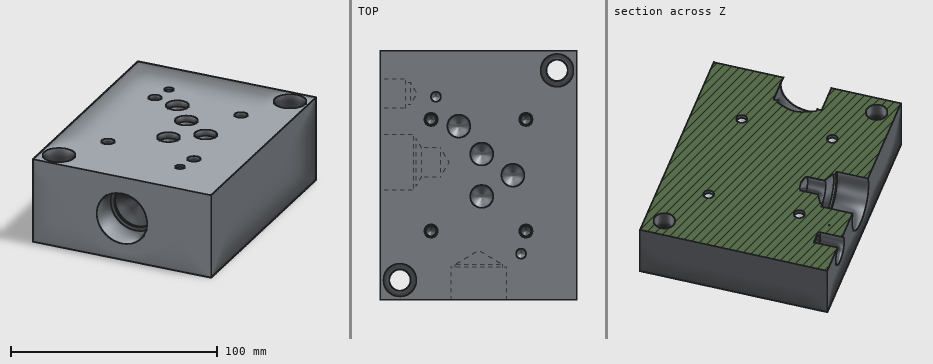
import cadquery as cq
import math

WIDTH = 95.2
LENGTH = 120.6
HEIGHT = 44.4
TOP = HEIGHT / 2

DRILL_POINT_ANGLE = 118.0
POINT_SLOPE = math.tan(math.radians(DRILL_POINT_ANGLE / 2))

MOUNT_EDGE = 9.5
MOUNT_DIAMETER = 10.3
MOUNT_BORE_DIAMETER = 15.9
MOUNT_BORE_DEPTH = 12.1
MOUNT_X = WIDTH / 2 - MOUNT_EDGE
MOUNT_Y = LENGTH / 2 - MOUNT_EDGE

BOLT_SPACING_X = 46.0
BOLT_SPACING_Y = 54.0
BOLT_STEPS = [(6.4, 14.5), (5.1, 18.1)]

VALVE_PORT_STEPS = [(11.1, 3.4)]
VALVE_PORT_CENTRES = [(16.6, 0), (1.6, 10.3), (1.6, -10.3), (-9.5, 23.8)]

PIN_STEPS = [(4.8, 1.2)]
PIN_X = 20.6
PIN_Y = 38.0

WORK_PORT_STEPS = [(26.9, 15.9), (23.0, 17.1)]
SIDE_PORT_Y = 6.4
SIDE_PORT_Z = 0.7
SIDE_DRILL_STEPS = [(14.2, 29.0)]

DRAIN_STEPS = [(13.9, 12.1), (10.7, 14.5)]
DRAIN_Y = 39.7


def drilled_hole(entry, direction, steps):
    """Stepped blind hole with a conical bottom; steps run from the widest to the narrowest."""
    axis = cq.Vector(*direction)
    start = cq.Vector(*entry)
    hole = cq.Workplane()
    for diameter, depth in steps:
        hole = hole.add(cq.Solid.makeCylinder(diameter / 2, depth, start, axis))
    radius = diameter / 2
    point = cq.Solid.makeCone(radius, 0, radius / POINT_SLOPE, start + axis * depth, axis)
    return hole.add(point).combine()


def top_hole(x, y, steps):
    return drilled_hole((x, y, TOP), (0, 0, -1), steps)


def side_hole(y, z, steps):
    return drilled_hole((-WIDTH / 2, y, z), (1, 0, 0), steps)


result = cq.Workplane().box(WIDTH, LENGTH, HEIGHT)

result = (
    result.faces(">Z")
    .workplane(origin=(0, 0, TOP))
    .pushPoints([(MOUNT_X, MOUNT_Y), (-MOUNT_X, -MOUNT_Y)])
    .cboreHole(MOUNT_DIAMETER, MOUNT_BORE_DIAMETER, MOUNT_BORE_DEPTH)
)

for x_side in (-1, 1):
    for y_side in (-1, 1):
        result = result.cut(top_hole(x_side * BOLT_SPACING_X / 2, y_side * BOLT_SPACING_Y / 2, BOLT_STEPS))

for x, y in VALVE_PORT_CENTRES:
    result = result.cut(top_hole(x, y, VALVE_PORT_STEPS))

for side in (-1, 1):
    result = result.cut(top_hole(side * PIN_X, -side * PIN_Y, PIN_STEPS))

result = result.cut(drilled_hole((0, -LENGTH / 2, 0), (0, 1, 0), WORK_PORT_STEPS))
for steps in (WORK_PORT_STEPS, SIDE_DRILL_STEPS):
    result = result.cut(side_hole(SIDE_PORT_Y, SIDE_PORT_Z, steps))
result = result.cut(side_hole(DRAIN_Y, 0, DRAIN_STEPS))